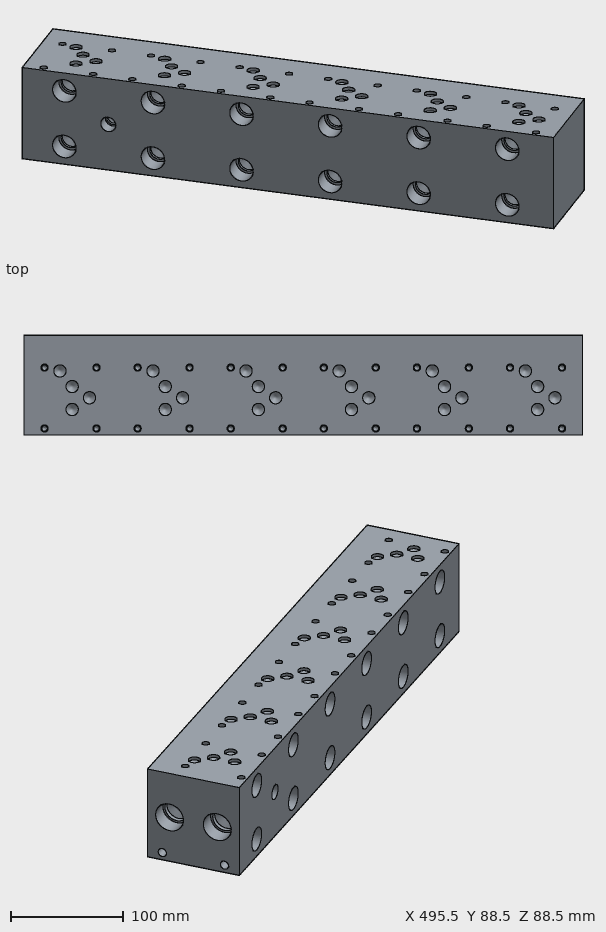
import cadquery as cq
import math

LENGTH = 495.5
SIDE = 88.5
MIDDLE = SIDE / 2

STATION_COUNT = 6
STATION_PITCH = LENGTH / STATION_COUNT
FIRST_BOLT_Y = 6.0
BOLT_SPAN_X = 46.0
BOLT_SPAN_Y = 54.0

VALVE_PASSAGES = [(1.5, 17.0), (1.5, 37.0), (17.0, 27.0), (-9.5, 51.0)]
VALVE_PASSAGE = [(11.0, 3.0)]

BOLT_HOLE = [(6.5, 10.0), (5.0, 12.5)]
WORK_PORT = [(22.0, 18.0), (17.5, 21.0)]
GAUGE_PORT = [(14.0, 13.0), (11.0, 16.0)]
MAIN_PORT = [(26.5, 16.5), (23.0, 21.0)]
MOUNT_HOLE = [(8.0, 15.0), (6.5, 18.0)]

WORK_PORT_OFFSET = -2.0
WORK_PORT_SPAN_Z = 54.0

GAUGE_PORT_X = 80.0

MAIN_PORT_SPAN_Y = 46.0
MOUNT_SPAN_Y = 60.0
MOUNT_Z = 7.5

DRILL_POINT_ANGLE = 120.0


def drilled_hole(position, direction, steps):
    """Blind hole of (diameter, depth) steps, widest first, with a conical bottom."""
    profile = cq.Workplane("XZ").moveTo(0, 0)
    start = 0
    for diameter, depth in steps:
        profile = profile.lineTo(diameter / 2, start).lineTo(diameter / 2, depth)
        start = depth
    tip = start + diameter / 2 / math.tan(math.radians(DRILL_POINT_ANGLE / 2))
    cutter = profile.lineTo(0, tip).close().revolve(360, (0, 0, 0), (0, 1, 0)).val()
    return cutter.moved(cq.Plane(position, normal=direction).location)


def station_cutters(center_x):
    """Bolt holes, valve passages and work ports of one valve station."""
    down = (0, 0, -1)
    inward = (0, 1, 0)
    cutters = []
    for x in (center_x - BOLT_SPAN_X / 2, center_x + BOLT_SPAN_X / 2):
        for y in (FIRST_BOLT_Y, FIRST_BOLT_Y + BOLT_SPAN_Y):
            cutters.append(drilled_hole((x, y, SIDE), down, BOLT_HOLE))
    for dx, dy in VALVE_PASSAGES:
        position = (center_x + dx, FIRST_BOLT_Y + dy, SIDE)
        cutters.append(drilled_hole(position, down, VALVE_PASSAGE))
    for side in (-1, 1):
        position = (center_x + WORK_PORT_OFFSET, 0, MIDDLE + side * WORK_PORT_SPAN_Z / 2)
        cutters.append(drilled_hole(position, inward, WORK_PORT))
    return cutters


def gauge_cutter():
    """Single gauge port at mid height of the front face."""
    return drilled_hole((GAUGE_PORT_X, 0, MIDDLE), (0, 1, 0), GAUGE_PORT)


def end_cutters():
    """Two main ports and two mounting holes in the left end face."""
    inward = (1, 0, 0)
    cutters = []
    for side in (-1, 1):
        port = (0, MIDDLE + side * MAIN_PORT_SPAN_Y / 2, MIDDLE)
        cutters.append(drilled_hole(port, inward, MAIN_PORT))
        mount = (0, MIDDLE + side * MOUNT_SPAN_Y / 2, MOUNT_Z)
        cutters.append(drilled_hole(mount, inward, MOUNT_HOLE))
    return cutters


block = cq.Workplane("XY").box(LENGTH, SIDE, SIDE, centered=False)

cutters = end_cutters() + [gauge_cutter()]
for station in range(STATION_COUNT):
    cutters += station_cutters((station + 0.5) * STATION_PITCH)

result = cq.Workplane("XY").newObject([block.val().cut(*cutters)])